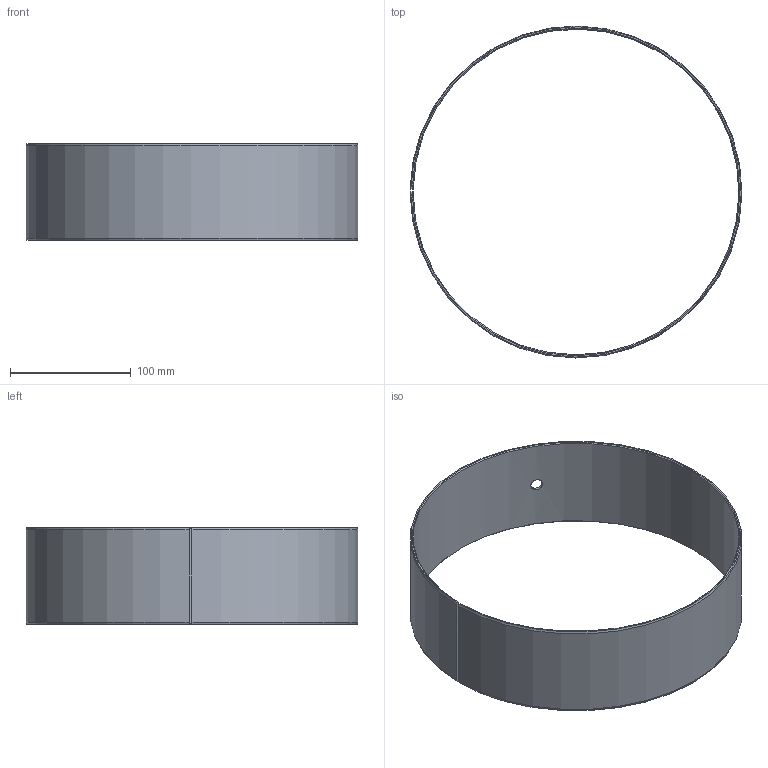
import cadquery as cq

OUTER_DIAMETER = 275.0
WALL_THICKNESS = 2.5
BAND_HEIGHT = 80.0

SLIT_ANGLE = 1.0
BAND_START_ANGLE = 180.0

OUTER_BEVEL_WIDTH = 0.6
OUTER_BEVEL_HEIGHT = 1.7
INNER_BEVEL = 0.8

HOLE_DIAMETER = 10.0
HOLE_ANGLE = 59.0
HOLE_HEIGHT = BAND_HEIGHT / 2

OUTER_RADIUS = OUTER_DIAMETER / 2
INNER_RADIUS = OUTER_RADIUS - WALL_THICKNESS
MID_RADIUS = OUTER_RADIUS - WALL_THICKNESS / 2


def make_split_band():
    """Revolve the bevelled wall section, stopping short of a full turn to leave the slit."""
    rim_inner_radius = INNER_RADIUS + INNER_BEVEL
    rim_outer_radius = OUTER_RADIUS - OUTER_BEVEL_WIDTH
    wall_section = (
        cq.Workplane("XZ")
        .moveTo(rim_inner_radius, 0)
        .lineTo(rim_outer_radius, 0)
        .lineTo(OUTER_RADIUS, OUTER_BEVEL_HEIGHT)
        .lineTo(OUTER_RADIUS, BAND_HEIGHT - OUTER_BEVEL_HEIGHT)
        .lineTo(rim_outer_radius, BAND_HEIGHT)
        .lineTo(rim_inner_radius, BAND_HEIGHT)
        .lineTo(INNER_RADIUS, BAND_HEIGHT - INNER_BEVEL)
        .lineTo(INNER_RADIUS, INNER_BEVEL)
        .close()
    )
    band = wall_section.revolve(360 - SLIT_ANGLE, (0, 0, 0), (0, 1, 0))
    return band.rotate((0, 0, 0), (0, 0, 1), BAND_START_ANGLE)


def make_hole_cutter():
    """Radial pin, centred on the wall, that pierces one side of the band."""
    pin_half_length = 2 * WALL_THICKNESS
    return (
        cq.Workplane("YZ")
        .circle(HOLE_DIAMETER / 2)
        .extrude(pin_half_length, both=True)
        .translate((MID_RADIUS, 0, HOLE_HEIGHT))
        .rotate((0, 0, 0), (0, 0, 1), HOLE_ANGLE)
    )


result = make_split_band().cut(make_hole_cutter())